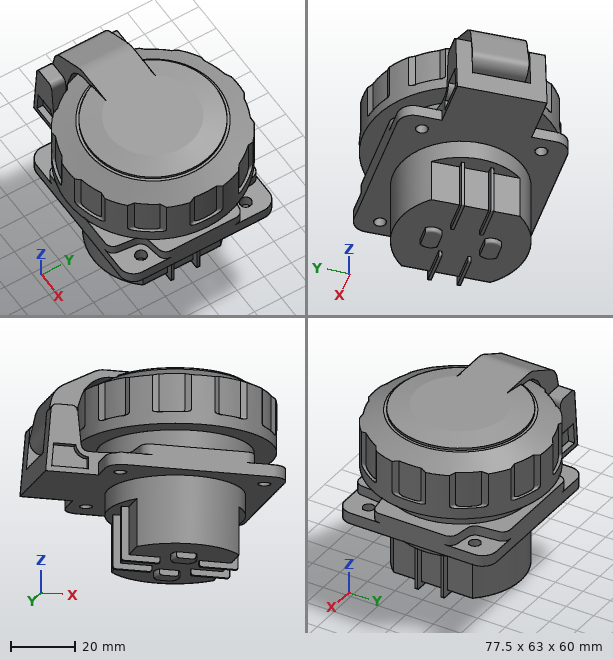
import cadquery as cq
import math


OVER_CUT = 0.8

total_length = 77.5
cap_diameter = 63.0
cap_radius = cap_diameter / 2
bracket_front_x = cap_radius - total_length

flange_length = 58.0
flange_width = 55.1
flange_height = 7.4
flange_corner_radius = 5.1
ledge_height = 3.95
ledge_start_y = 14.5
ledge_corner = (19.3, 16.05)
ledge_end_x = 18.1
ledge_fillet = 3.0
screw_hole_diameter = 3.95
screw_hole_x = 23.25
screw_hole_y = 19.3

neck_radius = 24.5
neck_top_z = 13.9
barrel_radius = 21.85
barrel_bottom_z = -22.1
flat_half_width = 16.5
flat_top_z = -6.6

terminal_bottom_z = -24.0
terminal_edge_fillet = 0.7
blade_outer_x = 18.8
blade_inner_x = 6.35
blade_thickness = 1.0
blade_center_y = 4.7
stud_diameter = 8.2
stud_width = 5.4
stud_center_y = 9.6

bracket_half_width = ledge_start_y
bracket_top_z = 21.9
bracket_top_front_x = -44.1
bracket_top_back_x = -35.8
bracket_back_foot_x = -34.3
bracket_top_fillet = 1.9
bracket_foot_fillet = 2.5
bracket_slot_width = 18.75
recess_wall = 1.8
recess_depth = 2.2
recess_top_z = 9.2

band_top_z = 29.75
cone_top_radius = 23.95
cone_top_z = 33.7
disc_radius = 23.0
disc_edge_z = 34.5
cap_top_radius = 15.7
cap_top_z = 35.95

grip_count = 10
grip_floor_radius = 30.45
grip_bottom_z = 17.75
grip_mouth_half_angle = 11.1
grip_floor_half_angle = 7.6
grip_fillet = 0.85

arm_width = 18.2
arm_top_bend_x = -27.2
arm_outer_bend = (-41.8, 28.45)
arm_outer_bend_radius = 7.75
arm_inner_bend_x = -30.6
arm_inner_bend_radius = 10.45
arm_inner_end = (-36.35, 16.2)
knuckle_center = (-40.1, 16.5)
knuckle_radius = 4.35


def ledge_cutter(side_x, side_y):
    """Notch that lowers one flange corner to the screw ledge."""
    edge_x = flange_length / 2
    edge_y = flange_width / 2
    far_x = edge_x + flange_corner_radius
    far_y = edge_y + flange_corner_radius
    outline = [
        (edge_x, ledge_start_y),
        ledge_corner,
        (ledge_end_x, edge_y),
        (ledge_end_x, far_y),
        (far_x, far_y),
        (far_x, ledge_start_y),
    ]
    outline = [(side_x * x, side_y * y) for x, y in outline]
    cutter = cq.Workplane("XY").workplane(offset=ledge_height).polyline(outline).close()
    cutter = cutter.extrude(flange_height - ledge_height + OVER_CUT)
    inner_corner = cq.selectors.NearestToPointSelector(
        (side_x * ledge_corner[0], side_y * ledge_corner[1], flange_height)
    )
    return cutter.edges("|Z").edges(inner_corner).fillet(ledge_fillet)


def round_ledge_mouths(flange):
    """Round the upright edges where the ledge walls run out of the flange sides."""
    mid_z = (ledge_height + flange_height) / 2
    for side_y in (-1, 1):
        for side_x in (-1, 1):
            points = [(side_x * ledge_end_x, side_y * flange_width / 2, mid_z)]
            if side_x > 0:
                points.append((side_x * flange_length / 2, side_y * ledge_start_y, mid_z))
            for point in points:
                edge = cq.selectors.NearestToPointSelector(point)
                flange = flange.edges("|Z").edges(edge).fillet(ledge_fillet)
    return flange


def make_flange():
    flange = cq.Workplane("XY").box(
        flange_length, flange_width, flange_height, centered=(True, True, False)
    )
    flange = flange.edges("|Z").fillet(flange_corner_radius)
    for side_x in (-1, 1):
        for side_y in (-1, 1):
            flange = flange.cut(ledge_cutter(side_x, side_y))
    flange = round_ledge_mouths(flange)
    holes = (
        cq.Workplane("XY")
        .rect(2 * screw_hole_x, 2 * screw_hole_y, forConstruction=True)
        .vertices()
        .circle(screw_hole_diameter / 2)
        .extrude(flange_height)
    )
    return flange.cut(holes)


def make_barrel():
    """Round socket barrel with a flat on its -X and +X sides."""
    barrel = cq.Workplane("XY").circle(barrel_radius).extrude(barrel_bottom_z)
    flatted = (
        cq.Workplane("XY")
        .workplane(offset=flat_top_z)
        .rect(2 * flat_half_width, 2 * barrel_radius)
        .extrude(barrel_bottom_z - flat_top_z)
    )
    upper = cq.Workplane("XY").circle(barrel_radius).extrude(flat_top_z)
    return barrel.intersect(flatted.union(upper))


def make_blade(side_x, side_y):
    """Flat terminal blade that stands out of a barrel flat and reaches in under the barrel."""
    blade = cq.Workplane("XY").box(
        blade_outer_x - blade_inner_x,
        blade_thickness,
        flat_top_z - terminal_bottom_z,
        centered=(True, True, False),
    )
    blade = blade.edges("<Z and |Y").fillet(terminal_edge_fillet)
    center_x = side_x * (blade_outer_x + blade_inner_x) / 2
    return blade.translate((center_x, side_y * blade_center_y, terminal_bottom_z))


def make_stud(center_y):
    """Round stud under the barrel, rounded at its lower rim and cut flat on both Y sides."""
    height = barrel_bottom_z - terminal_bottom_z
    disc = cq.Workplane("XY").circle(stud_diameter / 2).extrude(height)
    disc = disc.faces("<Z").edges().fillet(terminal_edge_fillet)
    slab = cq.Workplane("XY").rect(stud_diameter, stud_width).extrude(height)
    return disc.intersect(slab).translate((0, center_y, terminal_bottom_z))


def make_bracket():
    """Hinge bracket: two ears with a slot between them and a recess in each side."""
    outline = [
        (bracket_front_x, 0),
        (bracket_top_front_x, bracket_top_z),
        (bracket_top_back_x, bracket_top_z),
        (bracket_back_foot_x, flange_height),
        (-flange_length / 2, flange_height),
        (-flange_length / 2, 0),
    ]
    bracket = (
        cq.Workplane("XZ").polyline(outline).close().extrude(bracket_half_width, both=True)
    )
    bracket = bracket.faces(">Z").edges("|Y").fillet(bracket_top_fillet)
    foot = cq.selectors.NearestToPointSelector((bracket_back_foot_x, 0, flange_height))
    bracket = bracket.edges("|Y").edges(foot).fillet(bracket_foot_fillet)
    slot = (
        cq.Workplane("XY")
        .workplane(offset=flange_height)
        .center(bracket_front_x, 0)
        .rect(flange_length, bracket_slot_width)
        .extrude(bracket_top_z)
    )
    bracket = bracket.cut(slot)
    for side_y in (-1, 1):
        bracket = bracket.cut(recess_cutter(side_y))
    return bracket


def recess_cutter(side_y):
    """Side recess that follows the bracket outline at a constant wall, with a concave corner."""
    front_slope = (bracket_top_front_x - bracket_front_x) / bracket_top_z
    arc_radius = bracket_foot_fillet + recess_wall
    back_lean = math.atan2(bracket_back_foot_x - bracket_top_back_x, bracket_top_z - flange_height)
    foot_tangent = bracket_foot_fillet * math.tan((math.pi / 2 - back_lean) / 2)
    arc_center_x = bracket_back_foot_x + foot_tangent
    arc_center_z = flange_height + bracket_foot_fillet
    arc_start_angle = math.asin((arc_center_z - recess_top_z) / arc_radius)
    arc_mid_angle = (arc_start_angle + math.pi / 2) / 2

    def front_x(z):
        return bracket_front_x + recess_wall + front_slope * z

    def arc_point(angle):
        return (
            arc_center_x - arc_radius * math.cos(angle),
            arc_center_z - arc_radius * math.sin(angle),
        )

    return (
        cq.Workplane("XZ", origin=(0, side_y * bracket_half_width, 0))
        .moveTo(front_x(recess_wall), recess_wall)
        .lineTo(front_x(recess_top_z), recess_top_z)
        .lineTo(*arc_point(arc_start_angle))
        .threePointArc(arc_point(arc_mid_angle), arc_point(math.pi / 2))
        .lineTo(arc_center_x, recess_wall)
        .close()
        .extrude(recess_depth, both=True)
    )


def make_housing():
    neck = cq.Workplane("XY").circle(neck_radius).extrude(neck_top_z)
    housing = make_flange().union(neck).union(make_barrel()).union(make_bracket())
    for side_y in (-1, 1):
        housing = housing.union(make_stud(side_y * stud_center_y))
        for side_x in (-1, 1):
            housing = housing.union(make_blade(side_x, side_y))
    return housing


def polar_point(radius, angle):
    """Point at a radius and an angle in degrees from the +X axis."""
    return (radius * math.cos(math.radians(angle)), radius * math.sin(math.radians(angle)))


def grip_cutter():
    """Pocket at +X with slanted side walls, a floor coaxial with the cap and rounded lower corners."""
    floor_left = polar_point(grip_floor_radius, grip_floor_half_angle)
    mouth_left = polar_point(cap_radius, grip_mouth_half_angle)
    outer_left = (2 * mouth_left[0] - floor_left[0], 2 * mouth_left[1] - floor_left[1])
    cutter = (
        cq.Workplane("XY")
        .workplane(offset=grip_bottom_z)
        .moveTo(outer_left[0], -outer_left[1])
        .lineTo(floor_left[0], -floor_left[1])
        .threePointArc((grip_floor_radius, 0), floor_left)
        .lineTo(*outer_left)
        .close()
        .extrude(cone_top_z - grip_bottom_z)
    )
    wall_y = (floor_left[1] + outer_left[1]) / 2
    wall_x = (floor_left[0] + outer_left[0]) / 2
    for side_y in (-1, 1):
        corner = cq.selectors.NearestToPointSelector((wall_x, side_y * wall_y, grip_bottom_z))
        cutter = cutter.edges(corner).fillet(grip_fillet)
    return cutter


def make_arm():
    """Bent hinge arm, from the cap top down to the round knuckle between the bracket ears."""
    outer_run = math.dist(arm_outer_bend, knuckle_center)
    tangent_angle = math.asin(knuckle_radius / outer_run)
    center_angle = math.atan2(
        knuckle_center[1] - arm_outer_bend[1], knuckle_center[0] - arm_outer_bend[0]
    )
    direction = center_angle - tangent_angle
    tangent_length = outer_run * math.cos(tangent_angle)
    outer_end = (
        arm_outer_bend[0] + tangent_length * math.cos(direction),
        arm_outer_bend[1] + tangent_length * math.sin(direction),
    )
    outline = [
        (0, cap_top_z),
        (arm_top_bend_x, cap_top_z),
        arm_outer_bend,
        outer_end,
        knuckle_center,
        arm_inner_end,
        (arm_inner_bend_x, cone_top_z),
        (0, cone_top_z),
    ]
    arm = cq.Workplane("XZ").polyline(outline).close().extrude(arm_width / 2, both=True)
    bends = [
        ((arm_top_bend_x, cap_top_z), arm_outer_bend_radius),
        (arm_outer_bend, arm_outer_bend_radius),
        ((arm_inner_bend_x, cone_top_z), arm_inner_bend_radius),
    ]
    for (x, z), radius in bends:
        edge = cq.selectors.NearestToPointSelector((x, 0, z))
        arm = arm.edges("|Y").edges(edge).fillet(radius)
    knuckle = (
        cq.Workplane("XZ")
        .center(*knuckle_center)
        .circle(knuckle_radius)
        .extrude(arm_width / 2, both=True)
    )
    return arm.union(knuckle)


def make_cap():
    profile = [
        (0, neck_top_z),
        (cap_radius, neck_top_z),
        (cap_radius, band_top_z),
        (cone_top_radius, cone_top_z),
        (disc_radius, cone_top_z),
        (disc_radius, disc_edge_z),
        (cap_top_radius, cap_top_z),
        (0, cap_top_z),
    ]
    cap = cq.Workplane("XZ").polyline(profile).close().revolve(360, (0, 0, 0), (0, 1, 0))
    grip = grip_cutter()
    for index in range(grip_count):
        cap = cap.cut(grip.rotate((0, 0, 0), (0, 0, 1), index * 360 / grip_count))
    return cap.union(make_arm())


housing = make_housing()
cap = make_cap()

result = cq.Compound.makeCompound([housing.solids().val(), cap.solids().val()])